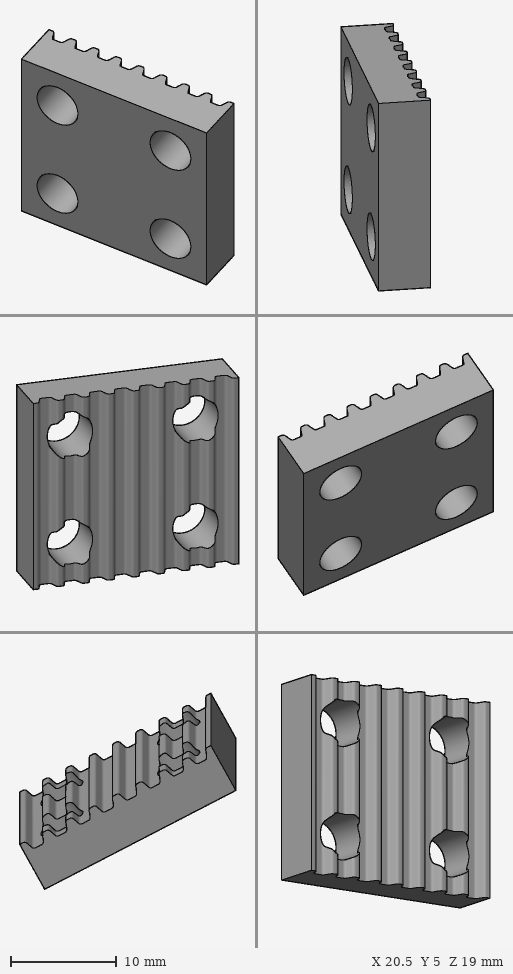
import cadquery as cq
import math

width = 20.5
thickness = 5.0
height = 19.0

tooth_pitch = 2.5
groove_count = 8
groove_depth = 1.0
groove_mouth = 1.82
flank_angle = 20.0
tip_radius = 0.3
root_radius = 0.3

hole_diameter = 4.5
hole_spacing_x = 12.5
hole_spacing_z = 11.0

front_y = -thickness / 2
tip_y = thickness / 2
root_y = tip_y - groove_depth
mouth_half = groove_mouth / 2
root_half = mouth_half - groove_depth * math.tan(math.radians(flank_angle))


def toothed_outline():
    """XY outline of the clamp with sharp trapezoidal grooves."""
    points = [(-width / 2, front_y), (-width / 2, tip_y)]
    for i in range(groove_count):
        x = (i - (groove_count - 1) / 2) * tooth_pitch
        points += [
            (x - mouth_half, tip_y),
            (x - root_half, root_y),
            (x + root_half, root_y),
            (x + mouth_half, tip_y),
        ]
    points += [(width / 2, tip_y), (width / 2, front_y)]
    return points


def edges_at(y):
    """Selector for the vertical edges between the end faces at depth y."""
    margin = 0.02
    inner_half = width / 2 - margin
    return cq.selectors.BoxSelector(
        (-inner_half, y - margin, -height),
        (inner_half, y + margin, height),
    )


def round_teeth(block):
    block = block.edges("|Z").edges(edges_at(root_y)).fillet(root_radius)
    return block.edges("|Z").edges(edges_at(tip_y)).fillet(tip_radius)


def hole_cutters():
    return (
        cq.Workplane("XZ", origin=(0, tip_y, 0))
        .rarray(hole_spacing_x, hole_spacing_z, 2, 2)
        .circle(hole_diameter / 2)
        .extrude(thickness)
    )


block = cq.Workplane("XY").polyline(toothed_outline()).close().extrude(height / 2, both=True)
result = round_teeth(block).cut(hole_cutters())